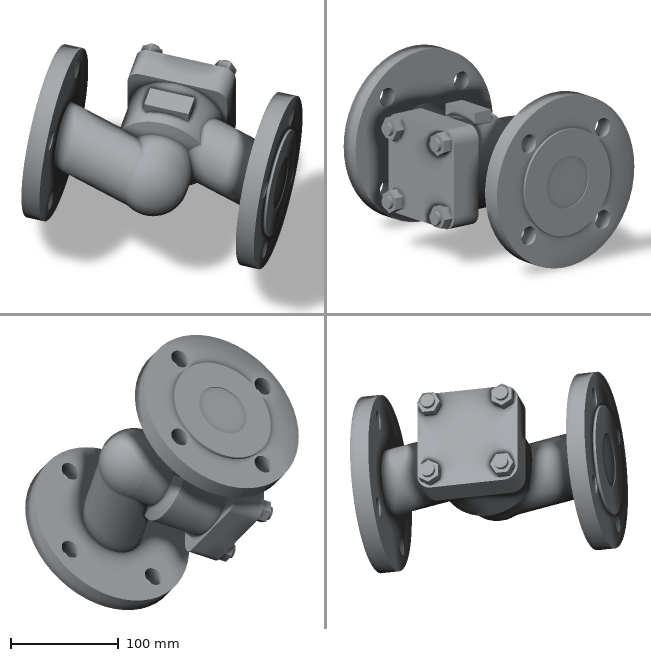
import cadquery as cq
import math

overall_length = 230.0
overall_width = 177.3
half_length = overall_length / 2

flange_diameter = 165.0
flange_radius = flange_diameter / 2
flange_thickness = 17.5
raised_face_radius = 51.0
raised_face_height = 2.8
bore_radius = 25.0
bore_recess_depth = 1.0
flange_hole_diameter = 18.0
flange_hole_offset = 44.5
flange_outer_x = half_length - raised_face_height
flange_inner_x = flange_outer_x - flange_thickness

neck_radius = 33.0
sphere_y = -30.0
pipe_radius = 30.5
pipe_slope = math.radians(18)
pipe_rise = flange_inner_x * math.tan(pipe_slope)

bonnet_radius = 45.5
cone_bottom_y = -2.0
cone_top_y = 3.2

cover_side = 96.0
cover_corner_radius = 13.0
cover_bottom_y = 51.8
cover_top_y = 81.5

stud_radius = 6.5
stud_offset = 35.2
stud_top_y = overall_width - flange_radius
nut_circumscribed_diameter = 22.0
nut_height = 9.7

plate_length = 42.8
plate_bottom_y = 15.0
plate_top_y = 35.0
plate_top_z = 52.7


def disc_along_x(radius, start_x, length):
    return cq.Workplane("YZ", origin=(start_x, 0, 0)).circle(radius).extrude(length)


def plane_at(y):
    """Workplane facing +Y, with its local axes along X and -Z."""
    return cq.Workplane("XZ", origin=(0, y, 0)).transformed(rotate=(180, 0, 0))


def right_flange():
    hole_square = 2 * flange_hole_offset
    flange = disc_along_x(flange_radius, flange_inner_x, flange_thickness)
    holes = (
        cq.Workplane("YZ", origin=(flange_inner_x, 0, 0))
        .rect(hole_square, hole_square, forConstruction=True)
        .vertices()
        .circle(flange_hole_diameter / 2)
        .extrude(flange_thickness)
    )
    raised_face = disc_along_x(raised_face_radius, flange_outer_x, raised_face_height)
    recess = disc_along_x(bore_radius, half_length - bore_recess_depth, bore_recess_depth)
    return flange.cut(holes).union(raised_face).cut(recess)


def right_pipe():
    """Pipe rising from the flange centre to the bonnet axis, trimmed at the flange."""
    direction = cq.Vector(math.cos(pipe_slope), -math.sin(pipe_slope), 0)
    start = cq.Vector(0, pipe_rise, 0)
    pipe = cq.Workplane(cq.Solid.makeCylinder(pipe_radius, overall_length, start, direction))
    trim = cq.Workplane("XY").box(2 * flange_inner_x, overall_length, overall_length)
    return pipe.intersect(trim)


def body_of_revolution():
    """Sphere, neck, cone and bonnet cylinder turned about the Y axis."""
    return (
        cq.Workplane("XY")
        .moveTo(0, sphere_y - neck_radius)
        .radiusArc((neck_radius, sphere_y), -neck_radius)
        .lineTo(neck_radius, cone_bottom_y)
        .lineTo(bonnet_radius, cone_top_y)
        .lineTo(bonnet_radius, cover_bottom_y)
        .lineTo(0, cover_bottom_y)
        .close()
        .revolve(360, (0, 0, 0), (0, 1, 0))
    )


def cover():
    return (
        plane_at(cover_bottom_y)
        .rect(cover_side, cover_side)
        .extrude(cover_top_y - cover_bottom_y)
        .edges("|Y")
        .fillet(cover_corner_radius)
    )


def stud_with_nut():
    nut = (
        plane_at(cover_top_y)
        .polygon(6, nut_circumscribed_diameter)
        .extrude(nut_height)
    )
    stud = plane_at(cover_top_y).circle(stud_radius).extrude(stud_top_y - cover_top_y)
    return nut.union(stud).translate((stud_offset, 0, stud_offset))


def name_plate():
    return (
        cq.Workplane("XY")
        .center(0, (plate_bottom_y + plate_top_y) / 2)
        .rect(plate_length, plate_top_y - plate_bottom_y)
        .extrude(plate_top_z)
    )


result = body_of_revolution().union(cover()).union(name_plate())

outlet_end = right_flange().union(right_pipe())
for angle in (0, 180):
    result = result.union(outlet_end.rotate((0, 0, 0), (0, 0, 1), angle))

corner_stud = stud_with_nut()
for angle in (0, 90, 180, 270):
    result = result.union(corner_stud.rotate((0, 0, 0), (0, 1, 0), angle))